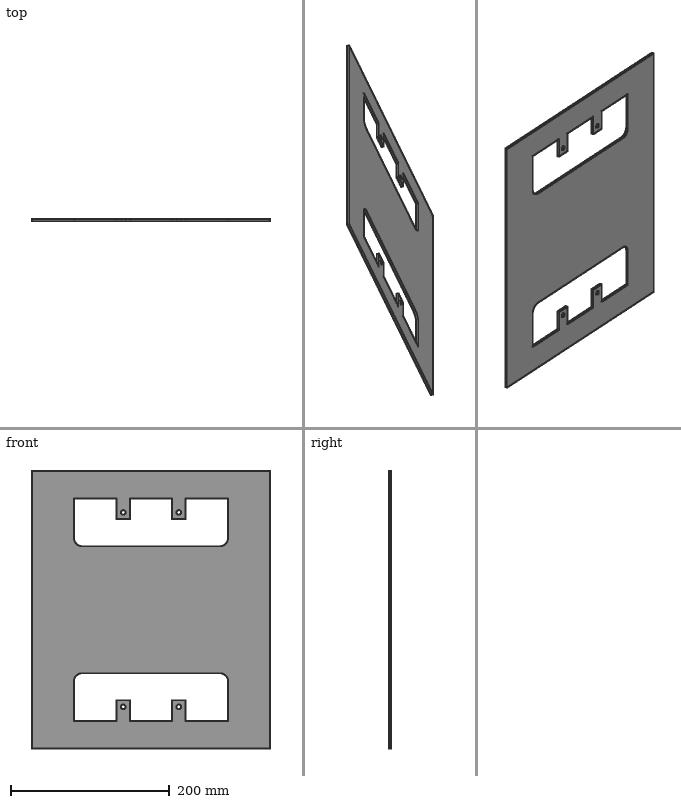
import cadquery as cq

plate_width = 300.0
plate_height = 350.0
plate_thickness = 3.0

window_width = 194.0
window_height = 60.0
window_margin = 35.0
window_corner_radius = 10.0

tab_width = 17.5
tab_length = 26.0
tab_spacing = 70.0
tab_hole_diameter = 5.5
tab_hole_offset = 17.5

window_outer_z = plate_height / 2 - window_margin
window_center_z = window_outer_z - window_height / 2
tab_center_z = window_outer_z - tab_length / 2
tab_hole_z = window_outer_z - tab_hole_offset
tab_positions_x = (-tab_spacing / 2, tab_spacing / 2)


def block(width, height, center_x=0, center_z=0):
    """Plate-thick rectangular block centred at the given X and Z."""
    return cq.Workplane("XY").box(width, plate_thickness, height).translate((center_x, 0, center_z))


def upper_window():
    """Window cutter with rounded inner corners, less its two drilled tabs."""
    window = block(window_width, window_height, center_z=window_center_z)
    window = window.faces("<Z").edges("|Y").fillet(window_corner_radius)
    for x in tab_positions_x:
        window = window.cut(block(tab_width, tab_length, x, tab_center_z))
    holes = (
        cq.Workplane("XZ")
        .pushPoints([(x, tab_hole_z) for x in tab_positions_x])
        .circle(tab_hole_diameter / 2)
        .extrude(plate_thickness / 2, both=True)
    )
    return window.add(holes).combine()


window_cutter = upper_window()
result = block(plate_width, plate_height).cut(window_cutter).cut(window_cutter.mirror("XY"))